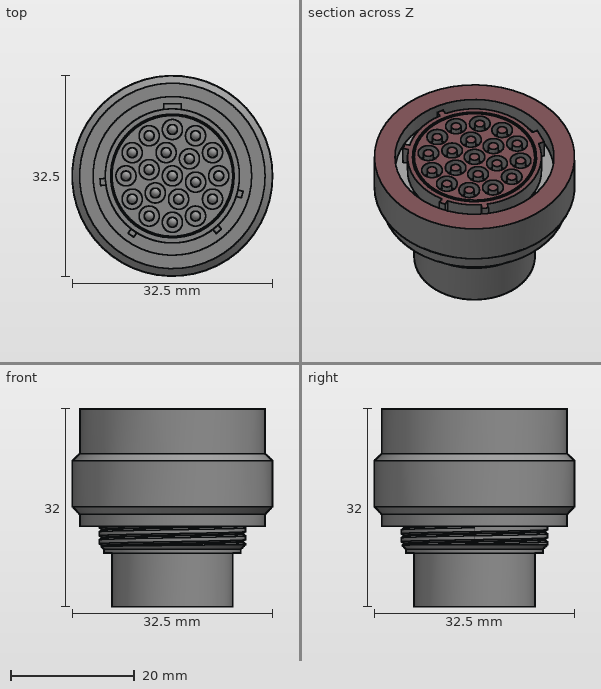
import cadquery as cq
import math

FLANGE_BOTTOM = 8.7
FLANGE_TOP = 9.35
NUT_BOTTOM = 13.05
LOWER_CHAMFER_BOTTOM = 14.97
LOWER_CHAMFER_TOP = 16.25
UPPER_CHAMFER_BOTTOM = 23.66
UPPER_CHAMFER_TOP = 24.8
TOTAL_HEIGHT = 32.05

NUT_RADIUS = 16.225
NUT_END_RADIUS = 15.0
NUT_BORE_RADIUS = 12.83
CHANNEL_FLOOR = 20.0

STEM_RADIUS = 9.8
FLANGE_RADIUS = 11.1
THREAD_RADIUS = 11.85
THREAD_DEPTH = 0.5
THREAD_PITCH = 1.3
THREAD_ROOT_WIDTH = 0.1
THREAD_HALF_ANGLE = 30.0
THREAD_FIRST_GROOVE = 10.55

FACE_LEVEL = 23.65
SLEEVE_RADIUS = 10.85
SLEEVE_BORE_RADIUS = 10.0
FACE_RADIUS = 9.76
FACE_GAP_DEPTH = 1.0

KEY_TOP = TOTAL_HEIGHT - 0.8
KEY_OUTER_RADIUS = 11.7
MAIN_KEY_ANGLE = 90
MAIN_KEY_WIDTH = 2.85
SMALL_KEY_ANGLES = (185, 235, 310, 345)
SMALL_KEY_WIDTH = 1.1

PIN_RADIUS = 0.8
PIN_TIP = 30.75
RECESS_RADIUS = 1.63
RECESS_DEPTH = 3.0
OUTER_PIN_COUNT = 12
OUTER_PIN_CIRCLE = 7.5
INNER_PIN_COUNT = 6
INNER_PIN_CIRCLE = 3.9
INNER_PIN_START = 45


def cylinder(radius, bottom, top):
    return cq.Workplane("XY").workplane(offset=bottom).circle(radius).extrude(top - bottom)


def revolve_profile(points):
    """Revolve a closed (radius, height) outline about the Z axis."""
    return cq.Workplane("XZ").polyline(points).close().revolve(360, (0, 0), (0, 1))


def make_stem():
    stem = cylinder(STEM_RADIUS, 0, FLANGE_BOTTOM)
    return stem.union(cylinder(FLANGE_RADIUS, FLANGE_BOTTOM, FLANGE_TOP))


def make_thread():
    """Threaded neck with a 45 degree lead, cut by one right-handed helical groove."""
    lead = THREAD_RADIUS - FLANGE_RADIUS
    neck = revolve_profile([
        (0, FLANGE_TOP),
        (FLANGE_RADIUS, FLANGE_TOP),
        (THREAD_RADIUS, FLANGE_TOP + lead),
        (THREAD_RADIUS, NUT_BOTTOM),
        (0, NUT_BOTTOM),
    ])
    overshoot = 0.2
    root_radius = THREAD_RADIUS - THREAD_DEPTH
    start = THREAD_FIRST_GROOVE - THREAD_PITCH
    turns = math.ceil((NUT_BOTTOM - start) / THREAD_PITCH)
    half_root = THREAD_ROOT_WIDTH / 2
    flare = (THREAD_DEPTH + overshoot) * math.tan(math.radians(THREAD_HALF_ANGLE))
    half_mouth = half_root + flare
    helix = cq.Wire.makeHelix(THREAD_PITCH, turns * THREAD_PITCH, root_radius)
    groove = (
        cq.Workplane("XZ")
        .polyline([
            (root_radius, -half_root),
            (THREAD_RADIUS + overshoot, -half_mouth),
            (THREAD_RADIUS + overshoot, half_mouth),
            (root_radius, half_root),
        ])
        .close()
        .sweep(cq.Workplane(helix), isFrenet=True)
        .translate((0, 0, start))
    )
    return neck.cut(groove)


def make_nut():
    """Chamfered nut body with an annular channel around the contact insert."""
    body = revolve_profile([
        (0, NUT_BOTTOM),
        (NUT_END_RADIUS, NUT_BOTTOM),
        (NUT_END_RADIUS, LOWER_CHAMFER_BOTTOM),
        (NUT_RADIUS, LOWER_CHAMFER_TOP),
        (NUT_RADIUS, UPPER_CHAMFER_BOTTOM),
        (NUT_END_RADIUS, UPPER_CHAMFER_TOP),
        (NUT_END_RADIUS, TOTAL_HEIGHT),
        (0, TOTAL_HEIGHT),
    ])
    insert = cylinder(SLEEVE_RADIUS, CHANNEL_FLOOR, TOTAL_HEIGHT)
    channel = cylinder(NUT_BORE_RADIUS, CHANNEL_FLOOR, TOTAL_HEIGHT).cut(insert)
    return body.cut(channel)


def make_sleeve_bore():
    return cylinder(SLEEVE_BORE_RADIUS, FACE_LEVEL, TOTAL_HEIGHT)


def make_face_gap():
    """Narrow ring-shaped gap between the contact face and the sleeve."""
    bottom = FACE_LEVEL - FACE_GAP_DEPTH
    return cylinder(SLEEVE_BORE_RADIUS, bottom, FACE_LEVEL).cut(cylinder(FACE_RADIUS, bottom, FACE_LEVEL))


def make_key(angle, width):
    inner_radius = (SLEEVE_BORE_RADIUS + SLEEVE_RADIUS) / 2
    length = KEY_OUTER_RADIUS - inner_radius
    height = KEY_TOP - CHANNEL_FLOOR
    key = cq.Workplane("XY").box(length, width, height, centered=(False, True, False))
    return key.translate((inner_radius, 0, CHANNEL_FLOOR)).rotate((0, 0, 0), (0, 0, 1), angle)


def circle_points(radius, count, start_angle):
    angles = [math.radians(start_angle + 360 * i / count) for i in range(count)]
    return [(radius * math.cos(a), radius * math.sin(a)) for a in angles]


def make_pin():
    """Round pin with a hemispherical tip, rising from the bottom of its recess."""
    bottom = FACE_LEVEL - RECESS_DEPTH
    shoulder = PIN_TIP - PIN_RADIUS
    diagonal = PIN_RADIUS * math.sqrt(0.5)
    return (
        cq.Workplane("XZ")
        .moveTo(0, bottom)
        .lineTo(PIN_RADIUS, bottom)
        .lineTo(PIN_RADIUS, shoulder)
        .threePointArc((diagonal, shoulder + diagonal), (0, PIN_TIP))
        .close()
        .revolve(360, (0, 0), (0, 1))
    )


pin_points = [(0, 0)]
pin_points += circle_points(OUTER_PIN_CIRCLE, OUTER_PIN_COUNT, 0)
pin_points += circle_points(INNER_PIN_CIRCLE, INNER_PIN_COUNT, INNER_PIN_START)

result = make_nut().cut(make_sleeve_bore()).cut(make_face_gap())
result = result.union(make_key(MAIN_KEY_ANGLE, MAIN_KEY_WIDTH))
for key_angle in SMALL_KEY_ANGLES:
    result = result.union(make_key(key_angle, SMALL_KEY_WIDTH))

recess = cylinder(RECESS_RADIUS, FACE_LEVEL - RECESS_DEPTH, FACE_LEVEL)
pin = make_pin()
for x, y in pin_points:
    result = result.cut(recess.translate((x, y, 0)))
    result = result.union(pin.translate((x, y, 0)))

result = result.union(make_thread()).union(make_stem())